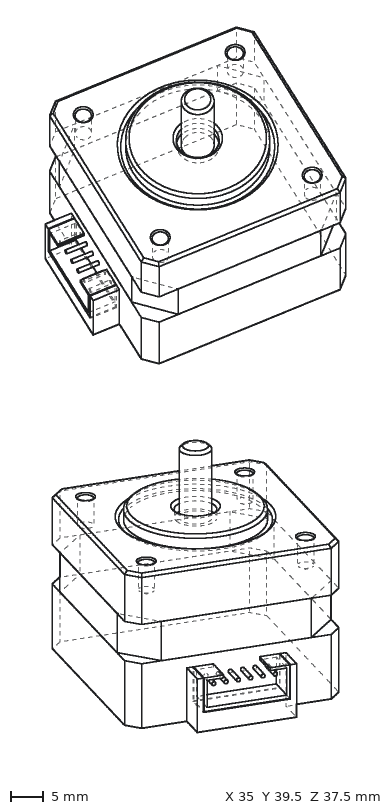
import cadquery as cq

body_width = 35.0
cap_corner = 2.0
lower_cap_top = 10.8
stator_top = 17.35
body_top = 25.68
stator_width = 34.95
stator_corner = 5.25
edge_chamfer = 0.5

pilot_diameter = 22.0
pilot_top = 27.4
groove_floor_diameter = 23.5
groove_depth = 0.5
bore_diameter = 6.5
bore_depth = 1.85

shaft_diameter = 5.0
shaft_top = 37.5

hole_spacing = 26.0
hole_diameter = 2.5
hole_depth = 4.75
hole_tip_height = 0.7
hole_chamfer = 0.255

total_depth = 39.5
connector_width = 16.2
connector_height = 8.93
connector_depth = total_depth - body_width
front_face_y = -body_width / 2

recess_width = 14.22
recess_floor = 3.2
shell_gap = 0.1
shell_wall = 0.47
shell_floor_wall = 0.65
shell_slot_width = 7.6

pin_count = 6
pin_pitch = 2.0
pin_diameter = 0.65
pin_length = 3.5
pin_height = 7.25


def chamfered_square(width, corner, bottom, top):
    """Square block, centred on Z, with cut-off vertical edges."""
    block = cq.Workplane("XY").workplane(offset=bottom).rect(width, width).extrude(top - bottom)
    return block.edges("|Z").chamfer(corner)


def cylinder(diameter, bottom, top):
    return cq.Workplane("XY").workplane(offset=bottom).circle(diameter / 2).extrude(top - bottom)


def countersink(diameter, top, size):
    """Shallow cone that flares a round opening up to the given height."""
    radius = diameter / 2
    profile = [(0, top - size), (radius, top - size), (radius + size, top), (0, top)]
    return cq.Workplane("XZ").polyline(profile).close().revolve(360, (0, 0), (0, 1))


def make_body():
    lower_cap = chamfered_square(body_width, cap_corner, 0, lower_cap_top)
    stator = chamfered_square(stator_width, stator_corner, lower_cap_top, stator_top)
    upper_cap = chamfered_square(body_width, cap_corner, stator_top, body_top)
    upper_cap = upper_cap.faces(">Z").edges().chamfer(edge_chamfer)
    return lower_cap.union(stator).union(upper_cap)


def add_pilot_and_shaft(body):
    groove = countersink(groove_floor_diameter, body_top, groove_depth)
    pilot = cylinder(pilot_diameter, body_top - groove_depth, pilot_top)
    pilot = pilot.faces(">Z").edges().chamfer(edge_chamfer)
    bore_floor = pilot_top - bore_depth
    bore = cylinder(bore_diameter, bore_floor, pilot_top)
    bore = bore.union(countersink(bore_diameter, pilot_top, edge_chamfer))
    shaft = cylinder(shaft_diameter, bore_floor, shaft_top)
    shaft = shaft.faces(">Z").edges().chamfer(edge_chamfer)
    return body.cut(groove).union(pilot).cut(bore).union(shaft)


def mounting_hole():
    """Drilled hole with a conical tip and a chamfered rim, on the Z axis."""
    radius = hole_diameter / 2
    floor = body_top - hole_depth
    profile = [
        (0, floor - hole_tip_height),
        (radius, floor),
        (radius, body_top - hole_chamfer),
        (radius + hole_chamfer, body_top),
        (0, body_top),
    ]
    return cq.Workplane("XZ").polyline(profile).close().revolve(360, (0, 0), (0, 1))


def front_block(width, bottom, top):
    """Block on the front face, centred in X, as deep as the connector."""
    block = cq.Workplane("XY").box(width, connector_depth, top - bottom, centered=(True, False, False))
    return block.translate((0, front_face_y - connector_depth, bottom))


def make_connector():
    housing = front_block(connector_width, 0, connector_height)
    recess = front_block(recess_width, recess_floor, connector_height)
    shell_width = recess_width - 2 * shell_gap
    shell_floor = recess_floor + shell_gap
    shell = front_block(shell_width, shell_floor, connector_height)
    cavity_width = shell_width - 2 * shell_wall
    cavity = front_block(cavity_width, shell_floor + shell_floor_wall, connector_height - shell_wall)
    top_slot = front_block(shell_slot_width, connector_height - shell_wall, connector_height)
    return housing.cut(recess).union(shell.cut(cavity).cut(top_slot))


def make_pins():
    pins = cq.Workplane("XZ", origin=(0, front_face_y, pin_height))
    pins = pins.rarray(pin_pitch, 0.4, pin_count, 1)
    return pins.circle(pin_diameter / 2).extrude(pin_length)


result = add_pilot_and_shaft(make_body())
for x_side in (-1, 1):
    for y_side in (-1, 1):
        hole_place = (x_side * hole_spacing / 2, y_side * hole_spacing / 2, 0)
        result = result.cut(mounting_hole().translate(hole_place))
result = result.union(make_connector()).union(make_pins())